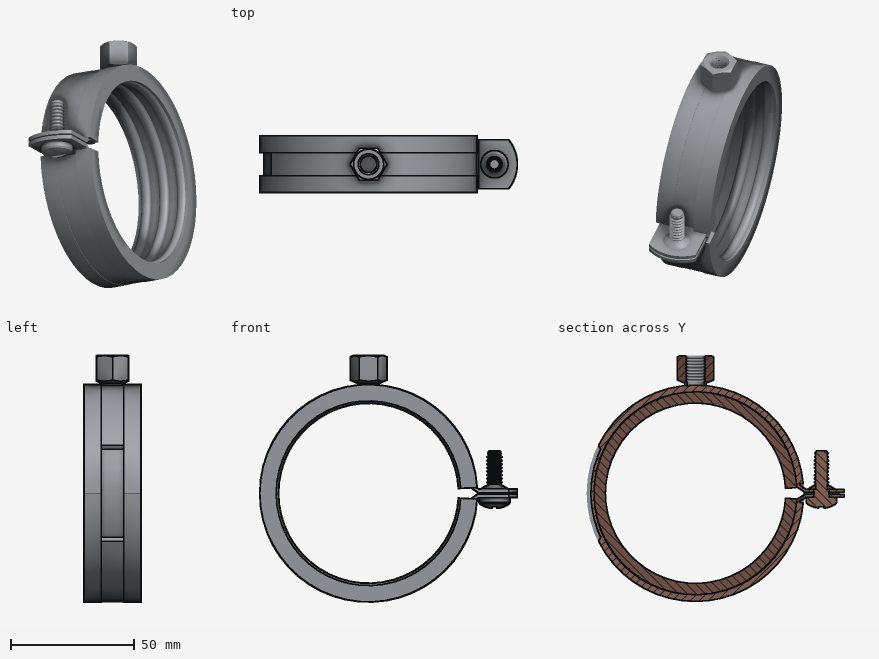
import cadquery as cq
import math


rubber_outer_radius = 44.1
rubber_inner_radius = 37.4
rubber_width = 23.1
gap_half_angle = 3.0
lobe_radius = 2.3
lobe_pitch = 8.3
web_thickness = 1.1

sheet = 1.5
lip_thickness = 1.6
band_width = 20.0
band_outer_radius = rubber_outer_radius - lip_thickness
band_inner_radius = band_outer_radius - sheet
lobe_center_radius = band_inner_radius - lobe_radius

bead_width = 9.2
bead_outer_radius = 43.9
bead_gap_angle = 5.0
bead_end_angle_outer = 153.8
bead_end_angle_inner = 155.1

tab_gap = 0.6
tab_bottom = tab_gap / 2
tab_top = tab_bottom + sheet
tab_bend_x = 44.2
tab_corner_x = 56.75
tab_end_x = 60.3
tab_root_angle = 3.5
tab_outer_root_angle = 4.5

screw_x = 51.0
shank_radius = 3.1
core_radius = 2.5
screw_top = 17.3
tip_radius = 2.0
tip_chamfer_height = 0.4
thread_pitch = 1.46
thread_ridge_width = 0.9
first_ridge_z = 4.45
ridge_count = 8
last_ridge_radius = 2.8
head_radius = 6.3
head_rim_bottom = -3.55
dome_radius = 6.0
dome_top = -4.3
head_bottom = -6.2
slot_width = 1.8
slot_depth = 0.7

cone_base_radius = 5.55
cone_top_z = 3.6
disc_radius = 7.0

nut_across_flats = 13.0
nut_corner_radius = nut_across_flats / math.sqrt(3)
nut_top = 55.85
nut_top_land_radius = 6.1
nut_top_chamfer_height = 0.6
nut_cone_top = 45.85
nut_neck_top = 44.5
nut_neck_radius = 4.4
bore_radius = 3.35
bore_thread_radius = 4.0
bore_mouth_radius = 4.2
bore_pitch = 1.25
bore_thread_count = 8

TURN = 360.0


def polar(radius, angle):
    """Point of the XZ plane at a radius and an angle measured from +X towards +Z."""
    turn = math.radians(angle)
    return radius * math.cos(turn), radius * math.sin(turn)


def ring_strip(inner_radius, outer_radius, y_from, y_to):
    """Full ring around Y with a rectangular section."""
    profile = cq.Workplane("XY").polyline(
        [
            (-inner_radius, y_from),
            (-outer_radius, y_from),
            (-outer_radius, y_to),
            (-inner_radius, y_to),
        ]
    )
    return profile.close().revolve(TURN, (0, 0, 0), (0, 1, 0))


def ring_cord(center_radius, y_center, section_radius):
    """Full ring around Y with a round section."""
    section = cq.Workplane("XY").center(-center_radius, y_center).circle(section_radius)
    return section.revolve(TURN, (center_radius, 0, 0), (center_radius, 1, 0))


def prism_along_y(outline, width):
    """Extrude an XZ outline symmetrically about Y = 0."""
    return outline.extrude(width / 2, both=True)


def turned(points):
    """Solid of revolution about Z from (radius, z) points that start and end on the axis."""
    return cq.Workplane("XZ").polyline(points).close().revolve(TURN, (0, 0, 0), (0, 1, 0))


def mirrored_pair(body):
    """A body joined with its mirror image below Z = 0."""
    return body.union(body.mirror("XY"))


def make_strip():
    """Band sheet: the hoop, then at each end a slope towards Z = 0 and a flat tab along X."""
    root_x, root_z = polar(band_inner_radius, tab_root_angle)
    slope_run = tab_bend_x - root_x
    slope_drop = root_z - tab_bottom
    slope_length = math.hypot(slope_run, slope_drop)
    outer_bend_x = tab_bend_x + sheet * (slope_length - slope_run) / slope_drop
    outer_root_x, outer_root_z = polar(band_outer_radius, tab_outer_root_angle)
    outline = (
        cq.Workplane("XZ")
        .moveTo(root_x, root_z)
        .threePointArc((-band_inner_radius, 0), (root_x, -root_z))
        .lineTo(tab_bend_x, -tab_bottom)
        .lineTo(tab_end_x, -tab_bottom)
        .lineTo(tab_end_x, -tab_top)
        .lineTo(outer_bend_x, -tab_top)
        .lineTo(outer_root_x, -outer_root_z)
        .threePointArc((-band_outer_radius, 0), (outer_root_x, outer_root_z))
        .lineTo(outer_bend_x, tab_top)
        .lineTo(tab_end_x, tab_top)
        .lineTo(tab_end_x, tab_bottom)
        .lineTo(tab_bend_x, tab_bottom)
        .close()
    )
    half_width = band_width / 2
    plan = (
        cq.Workplane("XY")
        .moveTo(-rubber_outer_radius, -half_width)
        .lineTo(tab_corner_x, -half_width)
        .threePointArc((tab_end_x, 0), (tab_corner_x, half_width))
        .lineTo(-rubber_outer_radius, half_width)
        .close()
        .extrude(rubber_outer_radius, both=True)
    )
    return prism_along_y(outline, band_width).intersect(plan)


def make_bead():
    """Raised strip over the upper half of the band, with a sloped end at the flexible zone."""
    root_radius = band_inner_radius + sheet / 2
    middle_angle = (bead_gap_angle + bead_end_angle_outer) / 2
    outline = (
        cq.Workplane("XZ")
        .moveTo(*polar(root_radius, bead_gap_angle))
        .lineTo(*polar(bead_outer_radius, bead_gap_angle))
        .threePointArc(
            polar(bead_outer_radius, middle_angle),
            polar(bead_outer_radius, bead_end_angle_outer),
        )
        .lineTo(*polar(band_outer_radius, bead_end_angle_inner))
        .lineTo(*polar(root_radius, bead_end_angle_inner))
        .threePointArc(
            polar(root_radius, middle_angle),
            polar(root_radius, bead_gap_angle),
        )
        .close()
    )
    return prism_along_y(outline, bead_width)


def make_band():
    band = make_strip().union(mirrored_pair(make_bead()))
    screw_hole = cq.Workplane("XY").center(screw_x, 0).circle(shank_radius).extrude(tab_top, both=True)
    return band.cut(screw_hole)


def make_rubber(band):
    edge = rubber_width / 2
    band_edge = band_width / 2
    web_inner = lobe_center_radius - web_thickness / 2
    rubber = ring_strip(web_inner, web_inner + web_thickness, -edge, edge)
    for side in (-1, 1):
        foot = ring_strip(rubber_inner_radius, band_inner_radius, side * lobe_pitch, side * edge)
        wall = ring_strip(rubber_inner_radius, rubber_outer_radius, side * band_edge, side * edge)
        lip = ring_strip(band_outer_radius, rubber_outer_radius, side * bead_width / 2, side * edge)
        rubber = rubber.union(foot).union(wall).union(lip)
    for place in (-1, 0, 1):
        rubber = rubber.union(ring_cord(lobe_center_radius, place * lobe_pitch, lobe_radius))
    reach = 2 * rubber_outer_radius
    gap = cq.Workplane("XZ").polyline([(0, 0), polar(reach, gap_half_angle), polar(reach, -gap_half_angle)])
    return rubber.cut(prism_along_y(gap.close(), rubber_width)).cut(band)


def make_nut():
    hexagon = (
        cq.Workplane("XY")
        .workplane(offset=band_outer_radius)
        .polygon(6, 2 * nut_corner_radius)
        .extrude(nut_top - band_outer_radius)
    )
    envelope = turned(
        [
            (0, band_outer_radius),
            (nut_neck_radius, band_outer_radius),
            (nut_neck_radius, nut_neck_top),
            (nut_corner_radius, nut_cone_top),
            (nut_corner_radius, nut_top - nut_top_chamfer_height),
            (nut_top_land_radius, nut_top),
            (0, nut_top),
        ]
    )
    mouth_depth = bore_mouth_radius - bore_radius
    bore_points = [
        (0, nut_top),
        (bore_mouth_radius, nut_top),
        (bore_radius, nut_top - mouth_depth),
    ]
    for turn in range(bore_thread_count):
        groove_top = nut_top - mouth_depth - turn * bore_pitch
        bore_points.append((bore_thread_radius, groove_top - bore_pitch / 2))
        bore_points.append((bore_radius, groove_top - bore_pitch))
    bore_points.append((bore_radius, band_outer_radius))
    bore_points.append((0, band_outer_radius))
    seat = prism_along_y(cq.Workplane("XZ").circle(bead_outer_radius), band_width)
    return hexagon.intersect(envelope).cut(turned(bore_points)).cut(seat)


def make_screw():
    blank = [
        (0, head_rim_bottom),
        (head_radius, head_rim_bottom),
        (head_radius, -tab_top),
        (shank_radius, -tab_top),
        (shank_radius, tab_top),
        (core_radius, tab_top),
    ]
    for turn in range(ridge_count + 1):
        ridge_z = first_ridge_z + turn * thread_pitch
        crest_radius = shank_radius if turn < ridge_count else last_ridge_radius
        blank.append((core_radius, ridge_z - thread_ridge_width / 2))
        blank.append((crest_radius, ridge_z))
        blank.append((core_radius, ridge_z + thread_ridge_width / 2))
    blank.append((core_radius, screw_top - tip_chamfer_height))
    blank.append((tip_radius, screw_top))
    blank.append((0, screw_top))

    dome_height = dome_top - head_bottom
    sphere_radius = (dome_radius**2 + dome_height**2) / (2 * dome_height)
    arc_radius = dome_radius / 2
    arc_z = head_bottom + sphere_radius - math.sqrt(sphere_radius**2 - arc_radius**2)
    dome = (
        cq.Workplane("XZ")
        .moveTo(0, head_rim_bottom)
        .lineTo(head_radius, head_rim_bottom)
        .lineTo(dome_radius, dome_top)
        .threePointArc((arc_radius, arc_z), (0, head_bottom))
        .close()
        .revolve(TURN, (0, 0, 0), (0, 1, 0))
    )
    slot = cq.Workplane("XY").box(slot_width, 2 * head_radius, 2 * slot_depth)
    slot = slot.translate((0, 0, head_bottom))
    return turned(blank).union(dome).cut(slot).translate((screw_x, 0, 0))


def make_cone():
    cone = turned(
        [
            (0, tab_top),
            (cone_base_radius, tab_top),
            (core_radius, cone_top_z),
            (0, cone_top_z),
        ]
    )
    hole = cq.Workplane("XY").circle(core_radius).extrude(cone_top_z)
    return cone.cut(hole).translate((screw_x, 0, 0))


def make_disc():
    disc = cq.Workplane("XY").circle(disc_radius).circle(shank_radius).extrude(tab_gap / 2, both=True)
    return disc.translate((screw_x, 0, 0))


band = make_band()
rubber = make_rubber(band)
nut = make_nut()
screw = make_screw()
cone = make_cone()
disc = make_disc()

bodies = [band, rubber, nut, screw, cone, disc]
result = cq.Compound.makeCompound([body.solids().val() for body in bodies])